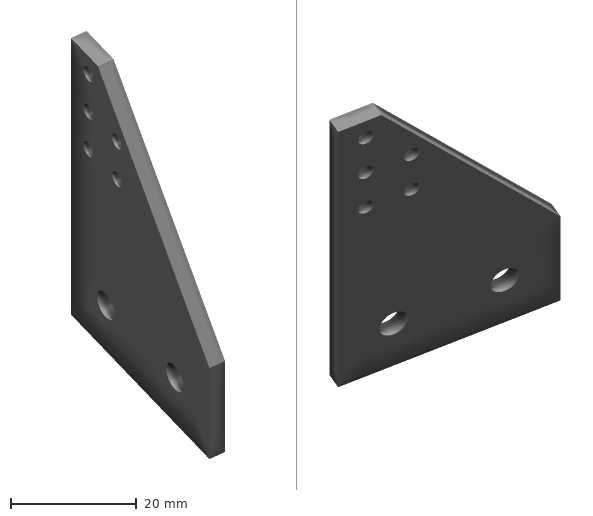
import cadquery as cq

width = 40.0
thickness = 3.0
height = 60.8
top_edge_width = 7.8
right_edge_height = width / 2

large_hole_diameter = 5.1
large_hole_inset = width / 4

small_hole_diameter = 2.8
small_hole_inset = width / 8
small_hole_pitch = 8.25
top_hole_drop = 3.95

large_hole_centers = [
    (large_hole_inset, large_hole_inset),
    (width - large_hole_inset, large_hole_inset),
]

top_hole_height = height - top_hole_drop
small_hole_centers = [
    (small_hole_inset + column * small_hole_pitch, top_hole_height - row * small_hole_pitch)
    for column, rows in enumerate([(0, 1, 2), (1, 2)])
    for row in rows
]


def through_holes(centers, diameter):
    """Cylinders that pass through the full plate thickness."""
    return cq.Workplane("XZ").pushPoints(centers).circle(diameter / 2).extrude(-thickness)


plate = (
    cq.Workplane("XZ")
    .polyline([
        (0, 0),
        (width, 0),
        (width, right_edge_height),
        (top_edge_width, height),
        (0, height),
    ])
    .close()
    .extrude(-thickness)
)

result = (
    plate
    .cut(through_holes(large_hole_centers, large_hole_diameter))
    .cut(through_holes(small_hole_centers, small_hole_diameter))
)